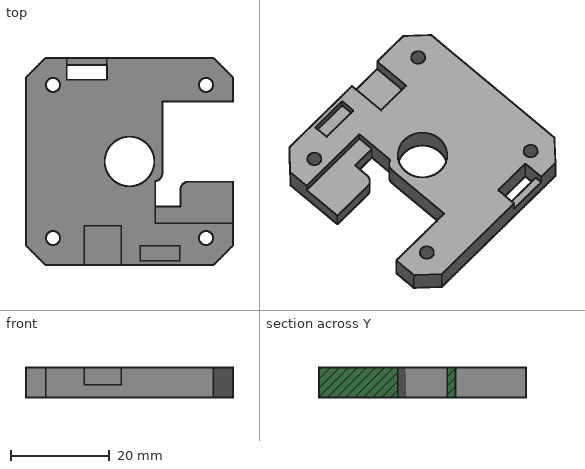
import cadquery as cq
import math

SIDE = 42.0
THICKNESS = 6.1
CORNER_CHAMFER = 4.0
HALF = SIDE / 2

SHAFT_HOLE_DIAMETER = 10.0
SCREW_HOLE_DIAMETER = 2.8
SCREW_SPACING = 31.0

CUTOUT_LEFT = 6.7
CUTOUT_BACK = 12.14
CUTOUT_FRONT = -4.06
CHANNEL_LEFT = 5.25
CHANNEL_RIGHT = 10.28
CHANNEL_FRONT = -9.1
SHOULDER_RADIUS = 1.8
MOUTH_RADIUS = 1.7

SHELF_FRONT = -12.55
SHELF_DEPTH = 2.0

BACK_NOTCH_LEFT = -12.7
BACK_NOTCH_WIDTH = 8.1
BACK_NOTCH_FRONT = 16.6
BACK_NOTCH_DEPTH = 2.5
BACK_LIP = 1.5

EDGE_POCKET_LEFT = -9.2
EDGE_POCKET_WIDTH = 7.5
EDGE_POCKET_LENGTH = 8.0
EDGE_POCKET_DEPTH = 3.5

CLOSED_POCKET_LEFT = 2.15
CLOSED_POCKET_WIDTH = 8.0
CLOSED_POCKET_LENGTH = 3.1
CLOSED_POCKET_BACK = -17.05
CLOSED_POCKET_DEPTH = 2.0


def top_cut(left, right, front, back, depth=THICKNESS):
    """Rectangular volume reaching down from the top face by the given depth."""
    size = (right - left, back - front, depth)
    corner = (left, front, THICKNESS - depth)
    return cq.Workplane("XY").box(*size, centered=False).translate(corner)


def make_plate():
    plate = cq.Workplane("XY").rect(SIDE, SIDE).extrude(THICKNESS)
    return plate.edges("|Z").chamfer(CORNER_CHAMFER)


def drill_holes(plate):
    plate = plate.cut(cq.Workplane("XY").circle(SHAFT_HOLE_DIAMETER / 2).extrude(THICKNESS))
    screw_centers = cq.Workplane("XY").rect(SCREW_SPACING, SCREW_SPACING, forConstruction=True).vertices()
    return plate.cut(screw_centers.circle(SCREW_HOLE_DIAMETER / 2).extrude(THICKNESS))


def side_opening():
    """Cutout with one rounded corner, joined by a channel whose +X mouth corner is rounded."""
    cutout = top_cut(CUTOUT_LEFT, HALF, CUTOUT_FRONT, CUTOUT_BACK)
    channel = top_cut(CHANNEL_LEFT, CHANNEL_RIGHT, CHANNEL_FRONT, CUTOUT_FRONT)
    return cutout.union(channel).union(rounded_shoulder()).union(rounded_mouth())


def rounded_shoulder():
    """Space between the rounded plate corner and the sharp corner of cutout and channel.

    The arc is tangent to the cutout wall and stops where it meets the channel wall.
    """
    center_x = CUTOUT_LEFT - SHOULDER_RADIUS
    center_y = CUTOUT_FRONT + SHOULDER_RADIUS
    arc_end_y = center_y - math.sqrt(SHOULDER_RADIUS**2 - (CHANNEL_LEFT - center_x) ** 2)
    return (
        cq.Workplane("XY")
        .moveTo(CUTOUT_LEFT, center_y)
        .radiusArc((CHANNEL_LEFT, arc_end_y), SHOULDER_RADIUS)
        .lineTo(CHANNEL_LEFT, CUTOUT_FRONT)
        .lineTo(CUTOUT_LEFT, CUTOUT_FRONT)
        .close()
        .extrude(THICKNESS)
    )


def rounded_mouth():
    """Corner removed from the shelf where the channel opens into the cutout."""
    return (
        cq.Workplane("XY")
        .moveTo(CHANNEL_RIGHT, CUTOUT_FRONT)
        .lineTo(CHANNEL_RIGHT, CUTOUT_FRONT - MOUTH_RADIUS)
        .radiusArc((CHANNEL_RIGHT + MOUTH_RADIUS, CUTOUT_FRONT), MOUTH_RADIUS)
        .close()
        .extrude(THICKNESS)
    )


def shelf():
    return top_cut(CHANNEL_LEFT, HALF, SHELF_FRONT, CUTOUT_FRONT, SHELF_DEPTH)


def back_notch():
    right = BACK_NOTCH_LEFT + BACK_NOTCH_WIDTH
    step = top_cut(BACK_NOTCH_LEFT, right, BACK_NOTCH_FRONT, HALF, BACK_NOTCH_DEPTH)
    slot = top_cut(BACK_NOTCH_LEFT, right, BACK_NOTCH_FRONT, HALF - BACK_LIP)
    return step.union(slot)


def edge_pocket():
    right = EDGE_POCKET_LEFT + EDGE_POCKET_WIDTH
    return top_cut(EDGE_POCKET_LEFT, right, -HALF, EDGE_POCKET_LENGTH - HALF, EDGE_POCKET_DEPTH)


def closed_pocket():
    right = CLOSED_POCKET_LEFT + CLOSED_POCKET_WIDTH
    front = CLOSED_POCKET_BACK - CLOSED_POCKET_LENGTH
    return top_cut(CLOSED_POCKET_LEFT, right, front, CLOSED_POCKET_BACK, CLOSED_POCKET_DEPTH)


result = drill_holes(make_plate())
for cut in (side_opening(), shelf(), back_notch(), edge_pocket(), closed_pocket()):
    result = result.cut(cut)